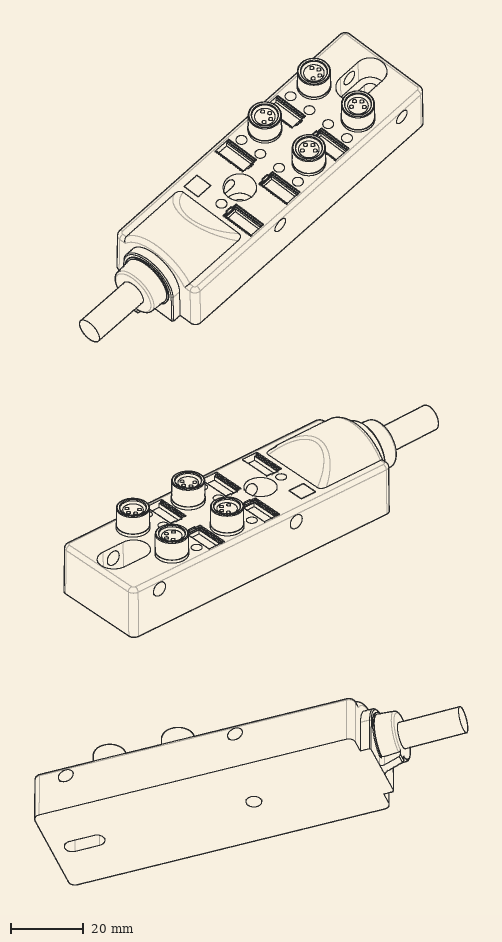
import cadquery as cq
import math


TOTAL_LENGTH = 120.6

BODY_WIDTH = 30.5
BODY_LENGTH = 93.9
BODY_HEIGHT = 15.9
BODY_CORNER_RADIUS = 1.9
BODY_TOP_RADIUS = 1.2
BODY_DRAFT_ANGLE = 0.9
BODY_DRAFT = BODY_HEIGHT * math.tan(math.radians(BODY_DRAFT_ANGLE))
FRONT_Y = -BODY_LENGTH

ROW_PITCH = 20.0
FIRST_SOCKET_Y = -20.0
ROW_STARTS = [0, -ROW_PITCH]
SOCKET_X = 8.2
LED_Y = -27.0
LED_XS = [-10.5, -3.5, 3.5, 10.5]
LABEL_Y = -32.0
LAST_LABEL_Y = -66.7

SOCKET_TOP = 22.7
SOCKET_RADIUS = 4.6
SOCKET_BASE_RADIUS = 4.7
SOCKET_BASE_HEIGHT = 1.0
SOCKET_RIM_CHAMFER = 0.2
SOCKET_MOUTH_RADIUS = 3.7
SOCKET_BORE_RADIUS = 3.6
SOCKET_BORE_DEPTH = 0.4
INSERT_RADIUS = 2.84
INSERT_DEPTH = 0.8
CONTACT_DIAMETER = 1.1
CONTACT_DEPTH = 3.6
CONTACT_CIRCLE_RADIUS = 1.8
CONTACT_ANGLES = [16, 84, 151, -54]

LED_RADIUS = 1.51
LED_HEIGHT = 0.4

LABEL_INNER_X = 3.0
LABEL_OUTER_X = 13.3
LABEL_WIDTH = 5.5
LAST_LABEL_WIDTH = 5.3
LABEL_END_STEP = 0.2
LABEL_STEP_WIDTH = 0.42
LABEL_STEP_DEPTHS = [0.5, 1.0, 2.3]
LABEL_NOTCH_WIDTH = 2.2
LABEL_NOTCH_REACH = 0.42

FIELD_SIZE = 5.2
FIELD_X = -8.9
FIELD_DEPTH = 0.1

SCREW_HOLE_DIAMETER = 4.3
SCREW_HEAD_DIAMETER = 9.2
SCREW_HEAD_FLOOR = 7.2
SCREW_HEAD_DRAFT_ANGLE = 2.0
SLOT_TRAVEL = 7.2
SLOT_Y = -9.7
ROUND_HOLE_Y = -59.2
SIDE_HOLE_Z = 12.3

HOOD_HALF_WIDTH = 11.8
HOOD_TOP = 22.2
HOOD_RISE = HOOD_TOP - BODY_HEIGHT
HOOD_BACK_Y = -71.0
HOOD_SLOPE_RUN = 8.9
HOOD_FRONT_RADIUS = 1.3
HOOD_SLOPE_EDGE_RADIUS = 2.2
HOOD_ROOT_DEPTH = 1.8

CABLE_Z = 10.9
CABLE_RADIUS = 3.7
CABLE_TILT = 1.0
COLLAR_RADIUS = 9.2
COLLAR_FOOT_HALF_WIDTH = 9.4
COLLAR_LENGTH = 3.0
COLLAR_CHAMFER = 0.4
SEAT_RADIUS = 8.0
SEAT_LENGTH = 0.4
BUSHING_LENGTH = 8.8
BUSHING_BACK_RADIUS = 7.5
BUSHING_FRONT_RADIUS = 7.1
BUSHING_EDGE_RADIUS = 0.6
RIB_HALF_WIDTH = 1.3
RIB_ROOT_RADIUS = 1.1
RIB_FRONT_BOTTOM = 2.2
RIB_BEVEL_HEIGHT = 0.7
RIB_BEVEL_DEPTH = 0.4
COLLAR_FRONT_Y = FRONT_Y - COLLAR_LENGTH
BUSHING_FRONT_Y = FRONT_Y - BUSHING_LENGTH


def make_body():
    base_x = BODY_WIDTH / 2
    top_x = base_x - BODY_DRAFT
    return (
        cq.Workplane("XZ")
        .moveTo(-base_x, 0)
        .lineTo(base_x, 0)
        .lineTo(top_x, BODY_HEIGHT)
        .lineTo(-top_x, BODY_HEIGHT)
        .close()
        .extrude(BODY_LENGTH)
        .faces("<Y or >Y")
        .edges("not(|X)")
        .fillet(BODY_CORNER_RADIUS)
        .faces(">Z")
        .edges()
        .fillet(BODY_TOP_RADIUS)
    )


def make_hood():
    root = BODY_HEIGHT - HOOD_ROOT_DEPTH
    root_y = HOOD_BACK_Y + HOOD_ROOT_DEPTH * HOOD_SLOPE_RUN / HOOD_RISE
    barrel = (
        cq.Workplane("XZ", origin=(0, root_y, 0))
        .moveTo(-HOOD_HALF_WIDTH, root)
        .lineTo(-HOOD_HALF_WIDTH, BODY_HEIGHT)
        .threePointArc((0, HOOD_TOP), (HOOD_HALF_WIDTH, BODY_HEIGHT))
        .lineTo(HOOD_HALF_WIDTH, root)
        .close()
        .extrude(root_y - FRONT_Y)
    )
    slope_cut = (
        cq.Workplane("YZ")
        .moveTo(root_y, root)
        .lineTo(HOOD_BACK_Y - HOOD_SLOPE_RUN, HOOD_TOP)
        .lineTo(root_y, HOOD_TOP)
        .close()
        .extrude(HOOD_HALF_WIDTH, both=True)
    )
    hood = barrel.cut(slope_cut)
    hood = hood.faces("<Y").edges("%CIRCLE").fillet(HOOD_FRONT_RADIUS)
    return hood.edges("%ELLIPSE").fillet(HOOD_SLOPE_EDGE_RADIUS)


def make_collar():
    return (
        cq.Workplane("XZ", origin=(0, FRONT_Y, 0))
        .moveTo(-COLLAR_FOOT_HALF_WIDTH, 0)
        .lineTo(-COLLAR_RADIUS, CABLE_Z)
        .threePointArc((0, CABLE_Z + COLLAR_RADIUS), (COLLAR_RADIUS, CABLE_Z))
        .lineTo(COLLAR_FOOT_HALF_WIDTH, 0)
        .close()
        .extrude(COLLAR_LENGTH)
        .faces("<Y")
        .edges("not(<Z)")
        .chamfer(COLLAR_CHAMFER)
    )


def make_bushing():
    seat_front_y = COLLAR_FRONT_Y - SEAT_LENGTH
    return (
        cq.Workplane("XY")
        .moveTo(0, FRONT_Y)
        .lineTo(SEAT_RADIUS, FRONT_Y)
        .lineTo(SEAT_RADIUS, seat_front_y)
        .lineTo(BUSHING_BACK_RADIUS, seat_front_y)
        .lineTo(BUSHING_FRONT_RADIUS, BUSHING_FRONT_Y)
        .lineTo(0, BUSHING_FRONT_Y)
        .close()
        .revolve(360, (0, 0, 0), (0, 1, 0))
        .faces("<Y")
        .edges()
        .fillet(BUSHING_EDGE_RADIUS)
        .translate((0, 0, CABLE_Z))
    )


def make_rib():
    """Rib under the bushing, rising toward the front and flaring into the collar."""
    root_x = RIB_HALF_WIDTH + RIB_ROOT_RADIUS
    flare_y = COLLAR_FRONT_Y - RIB_ROOT_RADIUS
    plan = (
        cq.Workplane("XY")
        .moveTo(-root_x, COLLAR_FRONT_Y)
        .radiusArc((-RIB_HALF_WIDTH, flare_y), RIB_ROOT_RADIUS)
        .lineTo(-RIB_HALF_WIDTH, BUSHING_FRONT_Y)
        .lineTo(RIB_HALF_WIDTH, BUSHING_FRONT_Y)
        .lineTo(RIB_HALF_WIDTH, flare_y)
        .radiusArc((root_x, COLLAR_FRONT_Y), RIB_ROOT_RADIUS)
        .close()
        .extrude(CABLE_Z)
    )
    profile = (
        cq.Workplane("YZ")
        .moveTo(COLLAR_FRONT_Y, 0)
        .lineTo(BUSHING_FRONT_Y + RIB_BEVEL_DEPTH, RIB_FRONT_BOTTOM)
        .lineTo(BUSHING_FRONT_Y, RIB_FRONT_BOTTOM + RIB_BEVEL_HEIGHT)
        .lineTo(BUSHING_FRONT_Y, CABLE_Z)
        .lineTo(COLLAR_FRONT_Y, CABLE_Z)
        .close()
        .extrude(root_x, both=True)
    )
    return plan.intersect(profile)


def make_cable():
    """Cable rising slightly from the bushing; its lowest end point closes the total length."""
    tilt = math.radians(CABLE_TILT)
    reach = TOTAL_LENGTH + COLLAR_FRONT_Y
    length = (reach - CABLE_RADIUS * math.sin(tilt)) / math.cos(tilt)
    return (
        cq.Workplane("XZ")
        .circle(CABLE_RADIUS)
        .extrude(length)
        .rotate((0, 0, 0), (1, 0, 0), -CABLE_TILT)
        .translate((0, COLLAR_FRONT_Y, CABLE_Z))
    )


def make_socket(side, y):
    """Socket on the side given by -1 or 1; the contact patterns mirror each other."""
    base_top = BODY_HEIGHT + SOCKET_BASE_HEIGHT
    floor = SOCKET_TOP - INSERT_DEPTH
    shell = (
        cq.Workplane("XZ")
        .moveTo(0, BODY_HEIGHT - BODY_TOP_RADIUS)
        .lineTo(SOCKET_BASE_RADIUS, BODY_HEIGHT - BODY_TOP_RADIUS)
        .lineTo(SOCKET_BASE_RADIUS, base_top)
        .lineTo(SOCKET_RADIUS, base_top)
        .lineTo(SOCKET_RADIUS, SOCKET_TOP - SOCKET_RIM_CHAMFER)
        .lineTo(SOCKET_RADIUS - SOCKET_RIM_CHAMFER, SOCKET_TOP)
        .lineTo(SOCKET_MOUTH_RADIUS, SOCKET_TOP)
        .lineTo(SOCKET_BORE_RADIUS, SOCKET_TOP - SOCKET_BORE_DEPTH)
        .lineTo(INSERT_RADIUS, floor)
        .lineTo(0, floor)
        .close()
        .revolve(360, (0, 0, 0), (0, 1, 0))
    )
    contacts = [
        (
            -side * CONTACT_CIRCLE_RADIUS * math.cos(math.radians(angle)),
            CONTACT_CIRCLE_RADIUS * math.sin(math.radians(angle)),
        )
        for angle in CONTACT_ANGLES
    ]
    holes = (
        cq.Workplane("XY", origin=(0, 0, floor))
        .pushPoints(contacts)
        .circle(CONTACT_DIAMETER / 2)
        .extrude(-CONTACT_DEPTH)
    )
    return shell.cut(holes).translate((side * SOCKET_X, y, 0))


def make_led(x, y):
    """Shallow spherical dome with a short root inside the housing."""
    sphere_radius = (LED_RADIUS**2 + LED_HEIGHT**2) / (2 * LED_HEIGHT)
    mid_x = LED_RADIUS / 2
    mid_z = LED_HEIGHT - sphere_radius + math.sqrt(sphere_radius**2 - mid_x**2)
    return (
        cq.Workplane("XZ")
        .moveTo(0, -LED_HEIGHT)
        .lineTo(LED_RADIUS, -LED_HEIGHT)
        .lineTo(LED_RADIUS, 0)
        .threePointArc((mid_x, mid_z), (0, LED_HEIGHT))
        .close()
        .revolve(360, (0, 0, 0), (0, 1, 0))
        .translate((x, y, BODY_HEIGHT))
    )


def top_pocket(x_from, x_to, y, width, depth):
    """Rectangular cutter sunk into the housing top."""
    return (
        cq.Workplane("XY", origin=((x_from + x_to) / 2, y, BODY_HEIGHT))
        .rect(abs(x_to - x_from), width)
        .extrude(-depth)
    )


def label_holder(side, y, width):
    """Cutter for a channel with stepped edges and a release notch at its inner end."""
    outer = side * LABEL_OUTER_X
    notch_end = side * (LABEL_INNER_X - LABEL_NOTCH_REACH)
    cutter = top_pocket(notch_end, outer, y, LABEL_NOTCH_WIDTH, LABEL_STEP_DEPTHS[0])
    for step, depth in enumerate(LABEL_STEP_DEPTHS):
        inner = side * (LABEL_INNER_X + step * LABEL_END_STEP)
        step_width = width - 2 * step * LABEL_STEP_WIDTH
        cutter = cutter.union(top_pocket(inner, outer, y, step_width, depth))
    return cutter


def screw_cutter(diameter, travel, y, floor, draft_angle=0):
    """Vertical cutter from the top down to the floor, round or stretched along Y by the travel."""
    plane = cq.Workplane("XY", origin=(0, y, BODY_HEIGHT))
    if travel == 0:
        outline = plane.circle(diameter / 2)
    else:
        outline = plane.slot2D(diameter + travel, diameter, 90)
    return outline.extrude(floor - BODY_HEIGHT, taper=draft_angle)


def side_hole(y):
    return (
        cq.Workplane("YZ", origin=(0, y, SIDE_HOLE_Z))
        .circle(SCREW_HOLE_DIAMETER / 2)
        .extrude(BODY_WIDTH / 2, both=True)
    )


result = make_body().union(make_hood()).union(make_collar())
result = result.union(make_bushing()).union(make_rib()).union(make_cable())

for hole_y, hole_travel in [(SLOT_Y, SLOT_TRAVEL), (ROUND_HOLE_Y, 0)]:
    shank = screw_cutter(SCREW_HOLE_DIAMETER, hole_travel, hole_y, 0)
    head = screw_cutter(
        SCREW_HEAD_DIAMETER, hole_travel, hole_y, SCREW_HEAD_FLOOR, SCREW_HEAD_DRAFT_ANGLE
    )
    result = result.cut(shank).cut(head).cut(side_hole(hole_y))

for row_y in ROW_STARTS:
    for row_side in (-1, 1):
        result = result.cut(label_holder(row_side, row_y + LABEL_Y, LABEL_WIDTH))
        result = result.union(make_socket(row_side, row_y + FIRST_SOCKET_Y))
    for led_x in LED_XS:
        result = result.union(make_led(led_x, row_y + LED_Y))

field_left = FIELD_X - FIELD_SIZE / 2
field_right = FIELD_X + FIELD_SIZE / 2
result = result.cut(top_pocket(field_left, field_right, LAST_LABEL_Y, FIELD_SIZE, FIELD_DEPTH))
result = result.union(make_led(0, LAST_LABEL_Y))
result = result.cut(label_holder(1, LAST_LABEL_Y, LAST_LABEL_WIDTH))